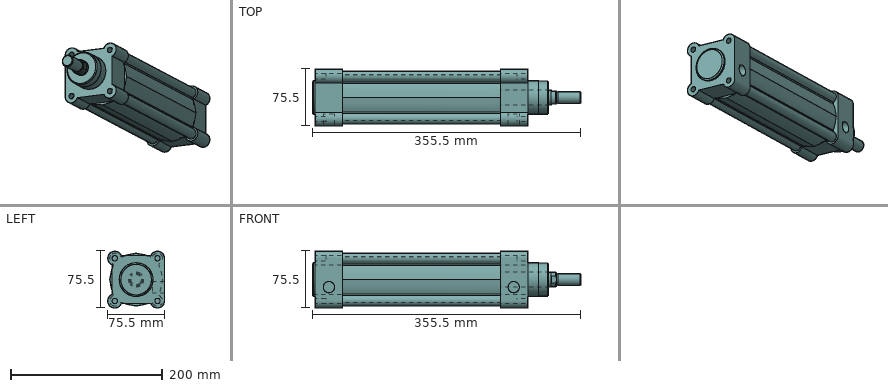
import cadquery as cq
import math


total_length = 355.5
boss_length = 3.5
head_length = 36.5
front_head_end = 285.5
collar_step_x = 299.5
collar_end = 312.5
wrench_start = 316.0
flats_start = 316.5
shoulder_x = 322.0
thread_start = 325.2

rear_head_end = boss_length + head_length
front_head_start = front_head_end - head_length
tube_length = front_head_start - rear_head_end

overall_width = 75.5
lobe_radius = 9.42
plate_half_width = 31.5
lobe_offset = overall_width / 2 - lobe_radius

screw_radius = 3.5
screw_depth = 14.2
port_radius = 7.5
port_depth = 16.0
port_z = -10.0
rear_port_x = boss_length + head_length / 2
front_port_x = 266.5

collar_radius = 22.5
collar_nose_radius = 22.2
boss_chamfer_axial = 1.5
boss_chamfer_radial = 2.0
nose_chamfer = 1.5

ridge_height = 35.0
ridge_half_width = 6.0
ridge_edge_height = 33.95
flank_end = 19.0
flank_end_height = 30.03
flank_radius = 39.0
groove_end = 21.0
tube_lobe_radius = ridge_height - lobe_offset

rod_radius = 10.0
wrench_radius = 9.77
flat_distance = 8.5
neck_radius = 7.5
shoulder_chamfer = 1.5
thread_radius = 8.0
thread_chamfer = 1.0

SIDES = range(4)
CORNERS = [(y, z) for y in (-lobe_offset, lobe_offset) for z in (-lobe_offset, lobe_offset)]


def yz_plane(x):
    return cq.Workplane("YZ", origin=(x, 0, 0))


def revolve_about_x(profile):
    """Turn a closed (x, radius) outline about the X axis."""
    return cq.Workplane("XY").polyline(profile).close().revolve(360, (0, 0, 0), (1, 0, 0))


def head_block(x_start, port_x):
    """Square plate with four round corner lobes and a flat -Y port face."""
    plate_width = lobe_offset + plate_half_width
    plate = (
        yz_plane(x_start)
        .center(plate_half_width - plate_width / 2, 0)
        .rect(plate_width, 2 * plate_half_width)
        .extrude(head_length)
    )
    port_face = (
        yz_plane(x_start)
        .center(-lobe_offset - lobe_radius / 2, 0)
        .rect(lobe_radius, 2 * lobe_offset)
        .extrude(head_length)
    )
    lobes = yz_plane(x_start).pushPoints(CORNERS).circle(lobe_radius).extrude(head_length)
    block = plate.union(port_face).union(lobes)

    port = (
        cq.Workplane("XZ", origin=(port_x, -overall_width / 2, port_z))
        .circle(port_radius)
        .extrude(-port_depth)
    )
    return block.cut(port)


def screw_holes(outer_x, depth):
    """Four corner holes from outer_x; a negative depth runs toward -X."""
    return yz_plane(outer_x).pushPoints(CORNERS).circle(screw_radius).extrude(depth)


def make_rear_head():
    boss = revolve_about_x([
        (0, 0),
        (0, collar_radius - boss_chamfer_radial),
        (boss_chamfer_axial, collar_radius),
        (boss_length, collar_radius),
        (boss_length, 0),
    ])
    return head_block(boss_length, rear_port_x).union(boss).cut(screw_holes(boss_length, screw_depth))


def make_front_head():
    collar = revolve_about_x([
        (front_head_end, 0),
        (front_head_end, collar_radius),
        (collar_step_x, collar_radius),
        (collar_step_x, collar_nose_radius),
        (collar_end - nose_chamfer, collar_nose_radius),
        (collar_end, collar_nose_radius - nose_chamfer),
        (collar_end, 0),
    ])
    rod_bore = yz_plane(front_head_start).circle(rod_radius).extrude(collar_end - front_head_start)
    return (
        head_block(front_head_start, front_port_x)
        .union(collar)
        .cut(screw_holes(front_head_end, -screw_depth))
        .cut(rod_bore)
    )


def make_tube():
    """Extruded profile: a ridged, curved face on each side and a round lobe on each corner."""

    def turned(side, along, out):
        """Point of one side, turned about the axis in quarter turns from the +Z side."""
        angle = side * math.pi / 2
        return (
            along * math.cos(angle) + out * math.sin(angle),
            out * math.cos(angle) - along * math.sin(angle),
        )

    def flank_middle():
        """Middle of the flank arc, bulging outward from its chord."""
        run = flank_end - ridge_half_width
        drop = ridge_edge_height - flank_end_height
        chord = math.hypot(run, drop)
        bulge = flank_radius - math.sqrt(flank_radius**2 - (chord / 2) ** 2)
        along = (ridge_half_width + flank_end) / 2 + bulge * drop / chord
        out = (ridge_edge_height + flank_end_height) / 2 + bulge * run / chord
        return along, out

    middle_along, middle_out = flank_middle()
    diagonal = tube_lobe_radius * math.sqrt(0.5)
    lobe_start = lobe_offset - diagonal
    lobe_tip = lobe_offset + diagonal
    groove_height = lobe_tip - (lobe_start - groove_end)

    profile = yz_plane(rear_head_end).moveTo(*turned(0, 0, ridge_height))
    for side in SIDES:
        profile = (
            profile
            .lineTo(*turned(side, ridge_half_width, ridge_edge_height))
            .threePointArc(
                turned(side, middle_along, middle_out),
                turned(side, flank_end, flank_end_height),
            )
            .lineTo(*turned(side, groove_end, groove_height))
            .lineTo(*turned(side, lobe_start, lobe_tip))
            .threePointArc(
                turned(side, lobe_tip, lobe_tip),
                turned(side + 1, -lobe_start, lobe_tip),
            )
            .lineTo(*turned(side + 1, -groove_end, groove_height))
            .lineTo(*turned(side + 1, -flank_end, flank_end_height))
            .threePointArc(
                turned(side + 1, -middle_along, middle_out),
                turned(side + 1, -ridge_half_width, ridge_edge_height),
            )
        )
        if side < SIDES[-1]:
            profile = profile.lineTo(*turned(side + 1, 0, ridge_height))
    return profile.close().extrude(tube_length)


def make_rod():
    """Rod through the front head, with wrench flats, a thread neck and a threaded end."""
    rod = revolve_about_x([
        (front_head_start, 0),
        (front_head_start, rod_radius),
        (wrench_start, rod_radius),
        (wrench_start, wrench_radius),
        (shoulder_x, wrench_radius),
        (shoulder_x + shoulder_chamfer, wrench_radius - shoulder_chamfer),
        (shoulder_x + shoulder_chamfer, neck_radius),
        (thread_start, neck_radius),
        (thread_start, thread_radius),
        (total_length - thread_chamfer, thread_radius),
        (total_length, thread_radius - thread_chamfer),
        (total_length, 0),
    ])
    flats_length = thread_start - flats_start
    for side in (-1, 1):
        waste = cq.Workplane("XY").box(flats_length, rod_radius, 2 * rod_radius).translate(
            (flats_start + flats_length / 2, side * (flat_distance + rod_radius / 2), 0)
        )
        rod = rod.cut(waste)
    return rod


rear_head = make_rear_head()
tube = make_tube()
front_head = make_front_head()
rod = make_rod()

result = cq.Compound.makeCompound([rear_head.val(), tube.val(), front_head.val(), rod.val()])